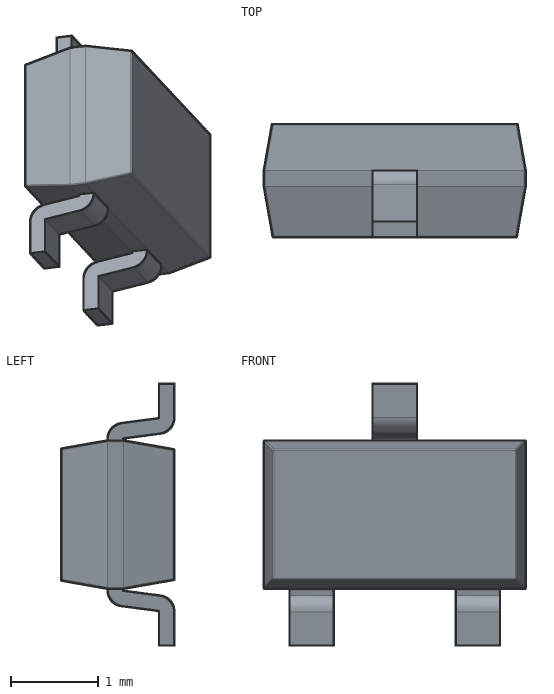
import cadquery as cq
import math

body_length = 3.0
body_height = 1.7
body_depth = 1.3
band_front = 0.582
band_depth = 0.185
draft_angle = 10.0
edge_radius = 0.018

lead_span = 3.0
lead_width = 0.51
lead_thickness = 0.18
lead_pitch = 1.902
inner_bend_radius = 0.01
foot_length = 0.387
shank_angle = math.radians(7.5)
embed_depth = 0.09

front_y = -body_depth / 2
band_front_y = front_y + band_front
band_back_y = band_front_y + band_depth
outer_bend_radius = inner_bend_radius + lead_thickness


def band_outline(y):
    """Rectangle of the body band on the XZ plane at the given Y."""
    plane = cq.Workplane("XZ", origin=(0, y, 0))
    return plane.rect(body_length, body_height)


def make_body():
    front = band_outline(band_front_y).extrude(band_front, taper=draft_angle)
    band = band_outline(band_back_y).extrude(band_depth)
    back_depth = body_depth - band_front - band_depth
    back = band_outline(band_back_y).extrude(-back_depth, taper=draft_angle)
    body = front.union(band).union(back)
    end_edges = body.faces("<Y or >Y").edges()
    corner_edges = body.edges("not (#Y)")
    return end_edges.add(corner_edges).fillet(edge_radius)


def polar(center, radius, angle):
    """Point in the YZ plane at an angle measured from +Y towards +Z."""
    return (
        center[0] + radius * math.cos(angle),
        center[1] + radius * math.sin(angle),
    )


def make_upper_lead(x):
    """Lead leaving the top of the body, centred on x."""
    tip_z = lead_span / 2
    foot_back_y = front_y + lead_thickness
    foot_center = (foot_back_y + inner_bend_radius, tip_z - foot_length)

    root_center_y = band_back_y - outer_bend_radius
    run = root_center_y - foot_center[0]
    normal_gap = outer_bend_radius + inner_bend_radius
    rise = (normal_gap + run * math.sin(shank_angle)) / math.cos(shank_angle)
    root_center = (root_center_y, foot_center[1] - rise)

    root_end = math.pi / 2 - shank_angle
    foot_end = root_end + math.pi
    foot_middle = (math.pi + foot_end) / 2
    root_middle = root_end / 2
    buried_z = body_height / 2 - embed_depth

    profile = (
        cq.Workplane("YZ", origin=(x, 0, 0))
        .moveTo(band_back_y, buried_z)
        .lineTo(*polar(root_center, outer_bend_radius, 0))
        .threePointArc(
            polar(root_center, outer_bend_radius, root_middle),
            polar(root_center, outer_bend_radius, root_end),
        )
        .lineTo(*polar(foot_center, inner_bend_radius, foot_end))
        .threePointArc(
            polar(foot_center, inner_bend_radius, foot_middle),
            polar(foot_center, inner_bend_radius, math.pi),
        )
        .lineTo(foot_back_y, tip_z)
        .lineTo(front_y, tip_z)
        .lineTo(*polar(foot_center, outer_bend_radius, math.pi))
        .threePointArc(
            polar(foot_center, outer_bend_radius, foot_middle),
            polar(foot_center, outer_bend_radius, foot_end),
        )
        .lineTo(*polar(root_center, inner_bend_radius, root_end))
        .threePointArc(
            polar(root_center, inner_bend_radius, root_middle),
            polar(root_center, inner_bend_radius, 0),
        )
        .lineTo(band_back_y - lead_thickness, buried_z)
        .close()
    )
    return profile.extrude(lead_width / 2, both=True)


result = make_body().union(make_upper_lead(0))
for lead_x in (-lead_pitch / 2, lead_pitch / 2):
    result = result.union(make_upper_lead(lead_x).mirror("XY"))